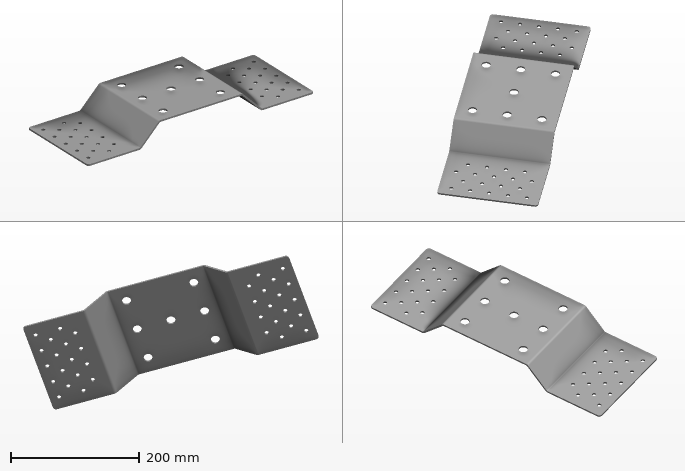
import cadquery as cq
import math

width = 160.0
thickness = 3.0
overall_height = 40.0
inner_bend_radius = 3.0
bend_angle = 45.0

platform_length = 160.0
flange_length = 100.0
corner_radius = 5.0

small_hole_diameter = 6.5
small_hole_pitch = 30.0
small_row_pitch = 20.0
small_row_edge_distance = 15.0
small_row_counts = [5, 4, 5, 4]

large_hole_diameter = 14.0
large_hole_pitch = 55.0

rise = overall_height - thickness
ramp_run = rise / math.tan(math.radians(bend_angle))
platform_half = platform_length / 2
ramp_foot = platform_half + ramp_run
half_length = ramp_foot + flange_length
corner_shift = thickness * math.tan(math.radians(bend_angle / 2))
outer_bend_radius = inner_bend_radius + thickness
pick_margin = thickness / 10


def round_bends(body, corners, radius):
    """Round the bend edges that run along X through the given (y, z) corners."""
    for y, z in corners:
        low = (-width, y - pick_margin, z - pick_margin)
        high = (width, y + pick_margin, z + pick_margin)
        body = body.edges(cq.selectors.BoxSelector(low, high, boundingbox=False)).fillet(radius)
    return body


def bent_sheet():
    """Hat-shaped strip of constant thickness, with every bend rounded."""
    lower_foot = ramp_foot - corner_shift
    lower_platform_half = platform_half - corner_shift

    upper_feet = [(-ramp_foot, thickness), (ramp_foot, thickness)]
    upper_shoulders = [(-platform_half, overall_height), (platform_half, overall_height)]
    lower_feet = [(lower_foot, 0), (-lower_foot, 0)]
    lower_shoulders = [(lower_platform_half, rise), (-lower_platform_half, rise)]

    upper = [
        (-half_length, thickness),
        upper_feet[0],
        *upper_shoulders,
        upper_feet[1],
        (half_length, thickness),
    ]
    lower = [
        (half_length, 0),
        lower_feet[0],
        *lower_shoulders,
        lower_feet[1],
        (-half_length, 0),
    ]
    body = cq.Workplane("YZ").polyline(upper + lower).close().extrude(width / 2, both=True)
    body = round_bends(body, upper_shoulders + lower_feet, outer_bend_radius)
    return round_bends(body, lower_shoulders + upper_feet, inner_bend_radius)


def round_free_corners(body):
    """Round the four plan corners at the ends of the flanges."""
    return body.edges("|Z").fillet(corner_radius)


def small_hole_points():
    """Centres of the staggered rows, mirrored onto both flanges."""
    points = []
    for row, count in enumerate(small_row_counts):
        y = half_length - small_row_edge_distance - row * small_row_pitch
        for column in range(count):
            x = (column - (count - 1) / 2) * small_hole_pitch
            points += [(x, y), (x, -y)]
    return points


def large_hole_points():
    """One central hole and a row of three on each side of it."""
    points = [(0, 0)]
    for column in (-1, 0, 1):
        for row in (-1, 1):
            points.append((column * large_hole_pitch, row * large_hole_pitch))
    return points


def drill(body, points, diameter):
    """Cut vertical through holes."""
    drills = cq.Workplane("XY").pushPoints(points).circle(diameter / 2).extrude(overall_height)
    return body.cut(drills)


result = round_free_corners(bent_sheet())
result = drill(result, small_hole_points(), small_hole_diameter)
result = drill(result, large_hole_points(), large_hole_diameter)